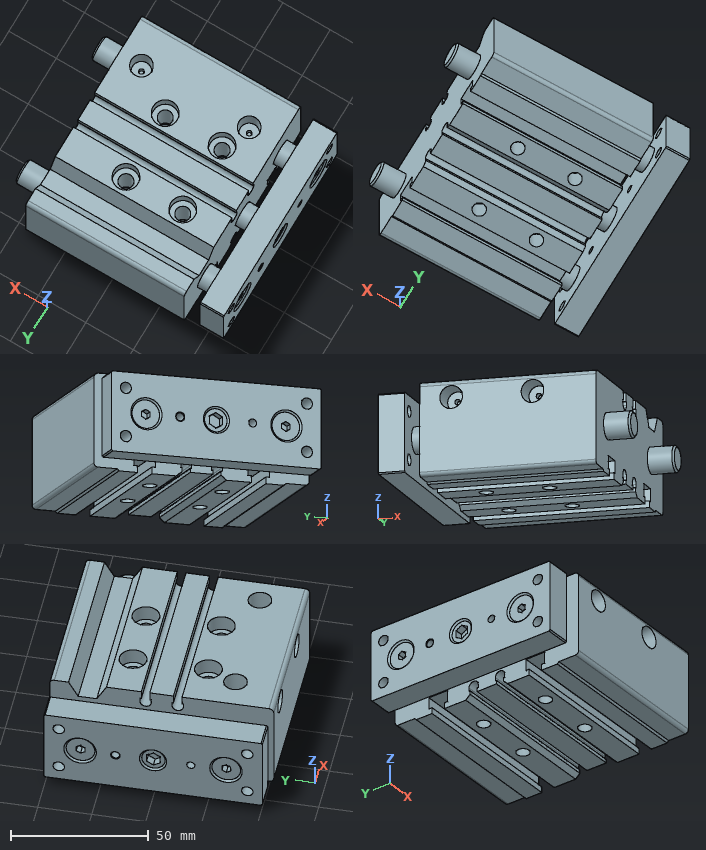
import cadquery as cq
import math


TOTAL_LENGTH = 93.0
PLATE_THICKNESS = 10.0
PLATE_WIDTH = 80.9
PLATE_HEIGHT = 30.0
PLATE_CHAMFER = 0.5

HOUSING_FRONT = 16.0
HOUSING_LENGTH = 67.0
HOUSING_WIDTH = 83.0
HOUSING_HEIGHT = 36.0
HALF_WIDTH = HOUSING_WIDTH / 2
TOP = HOUSING_HEIGHT / 2
BOTTOM = -TOP
TOP_CORNER_RADIUS = 1.8
BOTTOM_CORNER_RADIUS = 1.5

MARGIN_RISE = 0.7
MARGIN_EDGE = 32.55

ROD_DIAMETER = 10.0
GUIDE_OFFSET = 27.0
GUIDE_CHAMFER = 0.7
PISTON_ROD_REACH = HOUSING_LENGTH / 2

RECESS_DEPTH = 0.7
GUIDE_RECESS_DIAMETER = 12.0
PISTON_RECESS_DIAMETER = 10.0
GUIDE_HEX_FLATS = 3.2
PISTON_HEX_FLATS = 5.0
HEX_DEPTH = 4.0
HEX_HALF_CORNER_ANGLE = 30

CORNER_HOLE_DIAMETER = 4.2
CORNER_HOLE_Y = 34.9
CORNER_HOLE_Z = 9.0
DOWEL_DIAMETER = 3.0
DOWEL_OFFSET = 13.95
DOWEL_BEVEL = 0.25

GROOVE_CENTRE = 27.4
GROOVE_TOP_WIDTH = 14.0
GROOVE_DEPTH = 6.2
GROOVE_WALL_ANGLE = 60

SENSOR_SLOT_OFFSET = 5.95
SENSOR_NECK_WIDTH = 3.2
SENSOR_NECK_DEPTH = 3.35
SENSOR_CHANNEL_WIDTH = 4.2
SENSOR_ARC_CENTRE_DEPTH = 4.65
SENSOR_LEAD_IN = 1.95
CENTRE_LAND_RISE = 1.8

T_SLOT_OFFSET = 21.95
T_SLOT_NECK_WIDTH = 5.6
T_SLOT_HEAD_WIDTH = 8.4
T_SLOT_NECK_DEPTH = 2.5
T_SLOT_DEPTH = 7.3

MOUNT_FIRST_X = 32.9
MOUNT_PITCH = 24.0
MOUNT_OFFSET = 13.95
MOUNT_COUNTERBORE_DIAMETER = 10.0
MOUNT_COUNTERBORE_DEPTH = 6.0
MOUNT_CLEARANCE_DIAMETER = 5.8
MOUNT_TAP_DIAMETER = 5.2
MOUNT_TAP_LENGTH = 12.0

PORT_MOUTH_DIAMETER = 8.6
PORT_FLOOR_DIAMETER = 7.5
PORT_DEPTH = 8.0
PORT_PASSAGE_DIAMETER = 2.0
PORT_PASSAGE_LENGTH = 3.0
PORT_FIRST_X = 28.0
TOP_PORT_PITCH = 45.5
TOP_PORT_Y = -24.9
FRONT_PORT_PITCH = 30.9
FRONT_PORT_Z = 11.5

X_AXIS = cq.Vector(1, 0, 0)
Y_AXIS = cq.Vector(0, 1, 0)
DOWN = cq.Vector(0, 0, -1)


def rod(diameter, start_x, end_x, y=0, z=0):
    """Cylinder along X."""
    return cq.Workplane("YZ", origin=(start_x, y, z)).circle(diameter / 2).extrude(end_x - start_x)


def along_housing(points):
    """Prism with the given (y, z) outline over the full housing length."""
    return cq.Workplane("YZ", origin=(HOUSING_FRONT, 0, 0)).polyline(points).close().extrude(HOUSING_LENGTH)


def bar_along_housing(y_centre, width, z_low, z_high):
    """Rectangular prism over the full housing length."""
    left = y_centre - width / 2
    right = y_centre + width / 2
    return along_housing([(left, z_low), (right, z_low), (right, z_high), (left, z_high)])


def housing_blank():
    """Block with raised bottom margins and rounded long corners."""
    margin = BOTTOM + MARGIN_RISE
    step_foot = MARGIN_EDGE - MARGIN_RISE
    blank = along_housing([
        (-HALF_WIDTH, TOP),
        (-HALF_WIDTH, margin),
        (-MARGIN_EDGE, margin),
        (-step_foot, BOTTOM),
        (step_foot, BOTTOM),
        (MARGIN_EDGE, margin),
        (HALF_WIDTH, margin),
        (HALF_WIDTH, TOP),
    ])
    blank = blank.edges("|X").edges(">Y or <Y").edges("<Z").fillet(BOTTOM_CORNER_RADIUS)
    return blank.edges("|X").edges(">Z").fillet(TOP_CORNER_RADIUS)


def side_groove():
    """Trapezoidal groove, narrowing downward."""
    half_top = GROOVE_TOP_WIDTH / 2
    half_floor = half_top - GROOVE_DEPTH / math.tan(math.radians(GROOVE_WALL_ANGLE))
    floor = TOP - GROOVE_DEPTH
    return along_housing([
        (GROOVE_CENTRE - half_top, TOP),
        (GROOVE_CENTRE - half_floor, floor),
        (GROOVE_CENTRE + half_floor, floor),
        (GROOVE_CENTRE + half_top, TOP),
    ])


def sensor_slot(y_centre):
    """Slot in the housing top: neck, ledge and round-floored channel."""
    ledge_z = TOP - SENSOR_NECK_DEPTH
    arc_z = TOP - SENSOR_ARC_CENTRE_DEPTH
    neck = bar_along_housing(y_centre, SENSOR_NECK_WIDTH, ledge_z, TOP)
    channel = bar_along_housing(y_centre, SENSOR_CHANNEL_WIDTH, arc_z, ledge_z)
    floor = rod(SENSOR_CHANNEL_WIDTH, HOUSING_FRONT, HOUSING_FRONT + HOUSING_LENGTH, y_centre, arc_z)
    return neck.union(channel).union(floor)


def centre_land_relief():
    """Recess of the bottom centre land, with the bevelled lead-ins of both sensor slots."""
    slot_outer = SENSOR_SLOT_OFFSET + SENSOR_NECK_WIDTH / 2
    land = BOTTOM + CENTRE_LAND_RISE
    return along_housing([
        (-slot_outer - SENSOR_LEAD_IN, BOTTOM),
        (slot_outer + SENSOR_LEAD_IN, BOTTOM),
        (slot_outer, land),
        (-slot_outer, land),
    ])


def t_slot(y_centre):
    head_start = BOTTOM + T_SLOT_NECK_DEPTH
    neck = bar_along_housing(y_centre, T_SLOT_NECK_WIDTH, BOTTOM, head_start)
    head = bar_along_housing(y_centre, T_SLOT_HEAD_WIDTH, head_start, BOTTOM + T_SLOT_DEPTH)
    return neck.union(head)


def drilled(diameter, start, direction, depth):
    return cq.Workplane(obj=cq.Solid.makeCylinder(diameter / 2, depth, start, direction))


def mounting_hole(x, y):
    mouth = cq.Vector(x, y, TOP)
    counterbore = drilled(MOUNT_COUNTERBORE_DIAMETER, mouth, DOWN, MOUNT_COUNTERBORE_DEPTH)
    clearance = drilled(MOUNT_CLEARANCE_DIAMETER, mouth, DOWN, HOUSING_HEIGHT - MOUNT_TAP_LENGTH)
    tapped = drilled(MOUNT_TAP_DIAMETER, mouth, DOWN, HOUSING_HEIGHT)
    return counterbore.union(clearance).union(tapped)


def air_port(mouth, direction):
    """Tapered port with a narrow passage in its floor."""
    taper = cq.Workplane(obj=cq.Solid.makeCone(
        PORT_MOUTH_DIAMETER / 2, PORT_FLOOR_DIAMETER / 2, PORT_DEPTH, mouth, direction))
    passage = drilled(PORT_PASSAGE_DIAMETER, mouth, direction, PORT_DEPTH + PORT_PASSAGE_LENGTH)
    return taper.union(passage)


def guide_rods():
    """The two outer rods, bevelled at their free ends."""
    rods = []
    for y in (-GUIDE_OFFSET, GUIDE_OFFSET):
        guide = rod(ROD_DIAMETER, PLATE_THICKNESS, TOTAL_LENGTH, y)
        rods.append(guide.faces(">X").chamfer(GUIDE_CHAMFER))
    return rods


def piston_rod():
    return rod(ROD_DIAMETER, PLATE_THICKNESS, HOUSING_FRONT + PISTON_ROD_REACH)


def build_housing():
    housing = housing_blank().cut(side_groove()).cut(centre_land_relief())
    for y in (-SENSOR_SLOT_OFFSET, SENSOR_SLOT_OFFSET):
        slot = sensor_slot(y)
        housing = housing.cut(slot)
        housing = housing.cut(slot.mirror("XY"))
    for y in (-T_SLOT_OFFSET, T_SLOT_OFFSET):
        housing = housing.cut(t_slot(y))
    for x in (MOUNT_FIRST_X, MOUNT_FIRST_X + MOUNT_PITCH):
        for y in (-MOUNT_OFFSET, MOUNT_OFFSET):
            housing = housing.cut(mounting_hole(x, y))
    for x in (PORT_FIRST_X, PORT_FIRST_X + TOP_PORT_PITCH):
        housing = housing.cut(air_port(cq.Vector(x, TOP_PORT_Y, TOP), DOWN))
    for x in (PORT_FIRST_X, PORT_FIRST_X + FRONT_PORT_PITCH):
        housing = housing.cut(air_port(cq.Vector(x, -HALF_WIDTH, FRONT_PORT_Z), Y_AXIS))

    for y in (-GUIDE_OFFSET, GUIDE_OFFSET):
        housing = housing.cut(rod(ROD_DIAMETER, HOUSING_FRONT, HOUSING_FRONT + HOUSING_LENGTH, y))
    return housing.cut(piston_rod())


def socket_recess(y, diameter, hex_flats):
    """Bevelled shallow recess with a hexagon socket in its floor, corners up and down."""
    bevel = cq.Workplane(obj=cq.Solid.makeCone(
        diameter / 2, diameter / 2 - RECESS_DEPTH, RECESS_DEPTH, cq.Vector(0, y, 0), X_AXIS))
    corner_diameter = hex_flats / math.cos(math.radians(HEX_HALF_CORNER_ANGLE))
    socket = cq.Workplane("YZ").polygon(6, corner_diameter).extrude(HEX_DEPTH)
    socket = socket.rotate((0, 0, 0), (1, 0, 0), HEX_HALF_CORNER_ANGLE).translate((0, y, 0))
    return bevel.union(socket)


def dowel_bevel(y):
    """Bevel around the mouth of a dowel hole."""
    radius = DOWEL_DIAMETER / 2
    return cq.Workplane(obj=cq.Solid.makeCone(
        radius + DOWEL_BEVEL, radius, DOWEL_BEVEL, cq.Vector(0, y, 0), X_AXIS))


def build_moving_plate():
    plate = cq.Workplane("YZ").rect(PLATE_WIDTH, PLATE_HEIGHT).extrude(PLATE_THICKNESS)
    plate = plate.edges("|X").chamfer(PLATE_CHAMFER)
    for y in (-CORNER_HOLE_Y, CORNER_HOLE_Y):
        for z in (-CORNER_HOLE_Z, CORNER_HOLE_Z):
            plate = plate.cut(rod(CORNER_HOLE_DIAMETER, 0, PLATE_THICKNESS, y, z))
    for y in (-DOWEL_OFFSET, DOWEL_OFFSET):
        plate = plate.cut(rod(DOWEL_DIAMETER, 0, PLATE_THICKNESS, y))
    plate = plate.cut(dowel_bevel(DOWEL_OFFSET))
    for y in (-GUIDE_OFFSET, GUIDE_OFFSET):
        plate = plate.cut(socket_recess(y, GUIDE_RECESS_DIAMETER, GUIDE_HEX_FLATS))
    plate = plate.cut(socket_recess(0, PISTON_RECESS_DIAMETER, PISTON_HEX_FLATS))
    for fixed_rod in [*guide_rods(), piston_rod()]:
        plate = plate.union(fixed_rod)
    return plate


housing = build_housing()
moving_plate = build_moving_plate()

result = cq.Compound.makeCompound([housing.val(), moving_plate.val()])